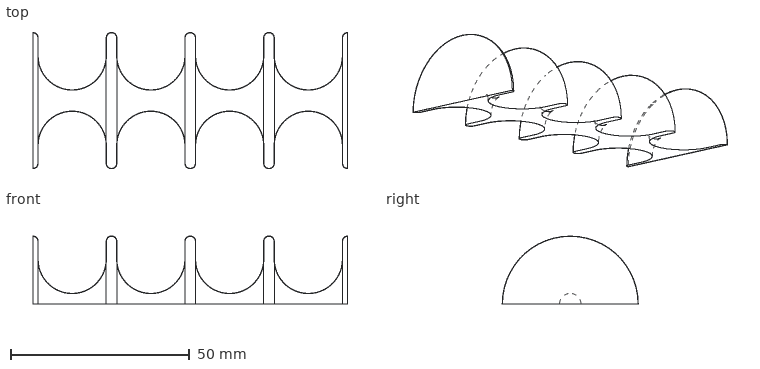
import cadquery as cq
import math

length = 88.0
groove_count = 4
disc_radius = 19.0
disc_thickness = 3.0
core_radius = 3.0

pitch = length / groove_count
rim_radius = disc_thickness / 2
groove_radius = (pitch - disc_thickness) / 2
groove_center_height = core_radius + groove_radius
rim_center_height = disc_radius - rim_radius
diagonal = math.sqrt(0.5)


def add_bay(profile, disc_x):
    """Trace from the crest of one disc, through a groove, to the next crest."""
    next_disc_x = disc_x + pitch
    groove_x = disc_x + pitch / 2
    rim_offset = rim_radius * diagonal
    return (
        profile
        .threePointArc(
            (disc_x + rim_offset, rim_center_height + rim_offset),
            (disc_x + rim_radius, rim_center_height),
        )
        .lineTo(disc_x + rim_radius, groove_center_height)
        .threePointArc(
            (groove_x, core_radius),
            (next_disc_x - rim_radius, groove_center_height),
        )
        .lineTo(next_disc_x - rim_radius, rim_center_height)
        .threePointArc(
            (next_disc_x - rim_offset, rim_center_height + rim_offset),
            (next_disc_x, disc_radius),
        )
    )


start_x = -length / 2
profile = cq.Workplane("XY").moveTo(start_x, 0).lineTo(start_x, disc_radius)
for bay in range(groove_count):
    profile = add_bay(profile, start_x + bay * pitch)
profile = profile.lineTo(start_x + length, 0).close()

result = profile.revolve(180, (0, 0, 0), (1, 0, 0))